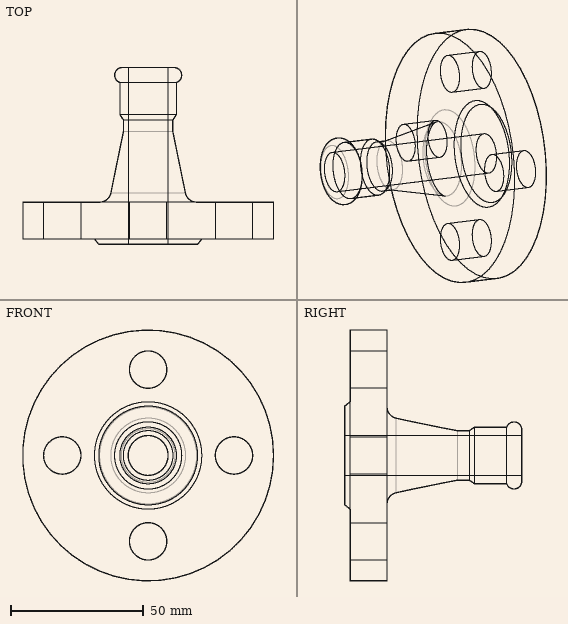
import cadquery as cq
import math

total_length = 67.0
raised_face_height = 2.0
flange_thickness = 14.1
flange_back = raised_face_height + flange_thickness
cone_start = 19.5
cone_end = 42.7
neck_end = 47.1
spigot_start = 49.1
bead_start = 61.3
bead_crest = 64.0

flange_radius = 47.5
raised_face_radius = 18.7
raised_face_base_radius = 20.3
cone_base_radius = 14.2
neck_radius = 9.4
spigot_radius = 10.7
bead_radius = 12.7
bead_end_radius = 10.2
bore_radius = 7.5

bolt_hole_radius = 7.0
bolt_circle_radius = 32.5
bolt_count = 4

cone_angle = math.atan((cone_base_radius - neck_radius) / (cone_end - cone_start))
fillet_radius = (cone_start - flange_back) / (1 - math.sin(cone_angle))
fillet_center_radius = cone_base_radius + fillet_radius * math.cos(cone_angle)
fillet_center_y = flange_back + fillet_radius
fillet_mid_angle = (math.pi / 2 + cone_angle) / 2
fillet_middle = (
    fillet_center_radius - fillet_radius * math.cos(fillet_mid_angle),
    fillet_center_y - fillet_radius * math.sin(fillet_mid_angle),
)


def revolved_body():
    """Flange, tapered hub, spigot and end bead turned about the Y axis."""
    profile = (
        cq.Workplane("XY")
        .moveTo(bore_radius, 0)
        .lineTo(raised_face_radius, 0)
        .lineTo(raised_face_base_radius, raised_face_height)
        .lineTo(flange_radius, raised_face_height)
        .lineTo(flange_radius, flange_back)
        .lineTo(fillet_center_radius, flange_back)
        .threePointArc(fillet_middle, (cone_base_radius, cone_start))
        .lineTo(neck_radius, cone_end)
        .lineTo(neck_radius, neck_end)
        .lineTo(spigot_radius, spigot_start)
        .lineTo(spigot_radius, bead_start)
        .threePointArc((bead_radius, bead_crest), (bead_end_radius, total_length))
        .lineTo(bore_radius, total_length)
        .close()
    )
    return profile.revolve(360, (0, 0, 0), (0, 1, 0))


def bolt_holes():
    """Through holes on the bolt circle, on the X and Z axes."""
    return (
        cq.Workplane("XZ")
        .polarArray(bolt_circle_radius, 0, 360, bolt_count)
        .circle(bolt_hole_radius)
        .extrude(-flange_back)
    )


result = revolved_body().cut(bolt_holes())